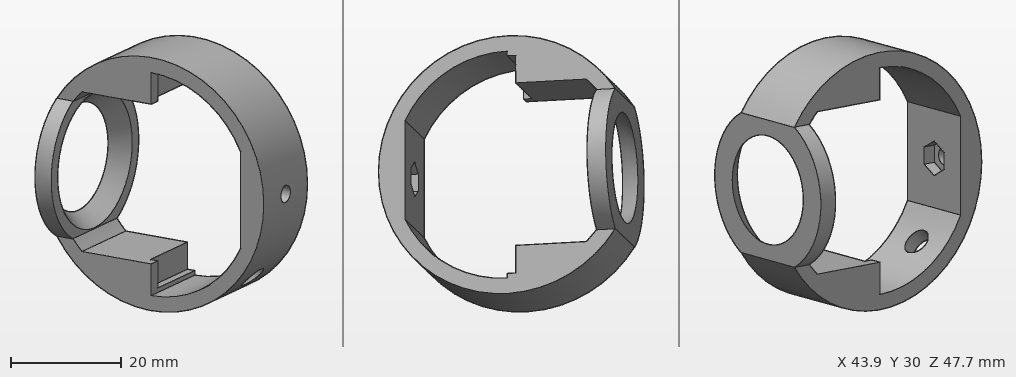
import cadquery as cq
import math

ring_radius = 23.85
bore_radius = 20.97
ring_width = 15.0
flat_x = 18.9

window_half_height = 15.0

flange_face_x = -20.0
flange_thickness = 3.5
flange_diameter = 30.0
flange_hole_diameter = 20.0
flange_hole_inner_diameter = 25.45

notch_length = 1.55
notch_end_z = 20.1
tab_thickness = 2.3

screw_diameter = 3.2
nut_across_flats = 5.55
nut_depth = 2.4

side_hole_diameter = 5.0
side_hole_angle = -45.0


def ring_cylinder(radius):
    return cq.Workplane("XZ").circle(radius).extrude(ring_width / 2, both=True)


def box_between(x0, x1, z0, z1):
    """Box across the full ring width, between two X and two Z positions."""
    return (
        cq.Workplane("XY")
        .box(x1 - x0, ring_width, z1 - z0)
        .translate(((x0 + x1) / 2, 0, (z0 + z1) / 2))
    )


def make_ring():
    outer = ring_cylinder(ring_radius)
    window = box_between(-ring_radius, 0, -window_half_height, window_half_height)
    open_half = box_between(0, flat_x, -ring_radius, ring_radius)
    opening = ring_cylinder(bore_radius).intersect(window.union(open_half))
    return outer.cut(opening)


def make_flange():
    """Disc whose top and bottom are trimmed to the outer surface of the ring."""
    disc = (
        cq.Workplane("YZ", origin=(-ring_radius, 0, 0))
        .circle(flange_diameter / 2)
        .extrude(flange_face_x + flange_thickness + ring_radius)
    )
    envelope = cq.Workplane("XZ").circle(ring_radius).extrude(flange_diameter / 2, both=True)
    return disc.intersect(envelope)


def trim_flange_face(body):
    """Cut the ring and flange together to one flat outer face."""
    trim = (
        cq.Workplane("YZ", origin=(flange_face_x, 0, 0))
        .rect(2 * ring_radius, 2 * ring_radius)
        .extrude(-ring_radius)
    )
    return body.cut(trim)


def cut_flange_hole(body):
    """Conical opening that widens towards the inside of the ring."""
    hole = (
        cq.Workplane("YZ", origin=(flange_face_x, 0, 0))
        .circle(flange_hole_diameter / 2)
        .workplane(offset=flange_thickness)
        .circle(flange_hole_inner_diameter / 2)
        .loft(ruled=True)
    )
    return body.cut(hole)


def cut_cheek_notches(body):
    """Notch both cheeks from the back, leaving the tabs flush with the front face."""
    notches = box_between(-notch_length, 0, -notch_end_z, notch_end_z)
    return body.cut(notches.translate((0, tab_thickness, 0)))


def cut_screw_seat(body):
    screw = cq.Workplane("YZ").circle(screw_diameter / 2).extrude(ring_radius)
    nut_diameter = nut_across_flats / math.cos(math.pi / 6)
    nut = (
        cq.Workplane("YZ")
        .transformed(rotate=(0, 0, 90))
        .polygon(6, nut_diameter)
        .extrude(flat_x + nut_depth)
    )
    return body.cut(screw).cut(nut)


def cut_side_hole(body):
    hole = (
        cq.Workplane("YZ")
        .circle(side_hole_diameter / 2)
        .extrude(ring_radius)
        .rotate((0, 0, 0), (0, 1, 0), -side_hole_angle)
    )
    return body.cut(hole)


result = make_ring().union(make_flange())
result = trim_flange_face(result)
result = cut_flange_hole(result)
result = cut_cheek_notches(result)
result = cut_screw_seat(result)
result = cut_side_hole(result)